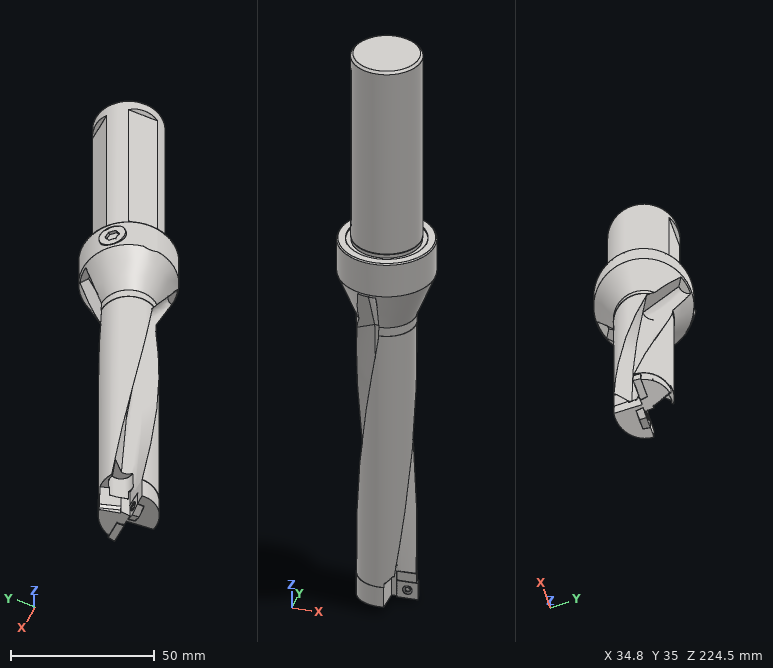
import cadquery as cq
import math

total_length = 224.5
flange_top = 148.5
flange_bottom = 135.0
cone_bottom = 118.0
neck_top = 114.5
flute_top = 112.6
tip_top = 11.0

shank_radius = 25.4 / 2
shank_chamfer = 1.0
flange_radius = 35.0 / 2
flange_chamfer = 0.5
tip_radius = 21.3 / 2
neck_radius = 10.5
end_face_low = 1.5
end_face_high = 3.0

groove_radius = 14.4
groove_depth = 0.7
undercut_height = 0.7
undercut_ramp = 0.5
undercut_depth = 0.2

shank_flat_depth = 1.3
shank_flat_top = 219.5
shank_flat_bottom = 154.0
shank_flat_ramp = 1.0
flange_flat_distance = 17.3

flute_twist = 89.0
web_offset = 1.1
flute_corner_radius = 4.0
flute_edge_angle = 116.0
runout_side_step = 1.0
runout_outward_step = 13.0
runout_rise = 21.3
scoop_radius = 4.5
scoop_x = -3.1
scoop_y = scoop_radius
scoop_top = 23.3
scoop_bottom = tip_top
scoop_cone_height = 2.0

outer_pocket_x = 1.8
outer_pocket_shoulder = 12.1
outer_pocket_top = 15.3
outer_pocket_slope_x = 4.7
seat_shelf_depth = 0.5
seat_shelf_top = 11.7
centre_pocket_top = 15.0
centre_pocket_inner_x = -1.0
centre_pocket_outer_x = 1.5
centre_pocket_step_y = 3.4
foot_relief_top = 5.2
foot_relief_bottom = 3.8
foot_relief_depth = 0.7

insert_thickness = 2.7
insert_taper = 7.0
outer_insert_x = (3.5, 11.2)
outer_insert_z = (1.1, 7.9)
centre_insert_x = (-7.0, 0.7)
centre_insert_point_x = -2.7
centre_insert_shoulder = 1.3
centre_insert_top = 7.6
screw_head_diameter = 3.4
screw_head_height = 1.1
screw_head_recess = 0.2
screw_shank_diameter = 2.2
screw_length = 6.3
screw_socket_diameter = 1.9
screw_socket_depth = 0.7

plug_diameter = 9.9
plug_angle = 135.0
plug_z = 141.4
plug_inner = 11.2
plug_outer = 17.7
plug_socket_across = 4.5
plug_socket_depth = 1.1
plug_socket_sides = 6

clearance = 22.5


def half_turn(shape):
    return shape.rotate((0, 0, 0), (0, 0, 1), 180)


def turned_blank():
    undercut_radius = shank_radius - undercut_depth
    groove_floor = flange_top - groove_depth
    return (
        cq.Workplane("XZ")
        .polyline([
            (0, 0),
            (tip_radius, 0),
            (tip_radius, tip_top),
            (neck_radius, tip_top),
            (neck_radius, neck_top),
            (tip_radius, neck_top),
            (tip_radius, cone_bottom),
            (flange_radius, flange_bottom),
            (flange_radius, flange_top - flange_chamfer),
            (flange_radius - flange_chamfer, flange_top),
            (groove_radius, flange_top),
            (groove_radius, groove_floor),
            (undercut_radius, groove_floor),
            (undercut_radius, flange_top + undercut_height),
            (shank_radius, flange_top + undercut_height + undercut_ramp),
            (shank_radius, total_length - shank_chamfer),
            (shank_radius - shank_chamfer, total_length),
            (0, total_length),
        ])
        .close()
        .revolve(360, (0, 0, 0), (0, 1, 0))
    )


def end_relief():
    """Waste below the two end faces, which rise from the cutting edges."""
    rise_rate = (end_face_high - end_face_low) / tip_radius
    far_z = end_face_low + rise_rate * clearance
    return (
        cq.Workplane("YZ")
        .polyline([
            (-clearance, -clearance),
            (clearance, -clearance),
            (clearance, far_z),
            (0, end_face_low),
            (-clearance, far_z),
        ])
        .close()
        .extrude(clearance, both=True)
    )


def shank_flat():
    """Waste of the clamping flat on the -X side, with ramped ends."""
    floor_x = -(shank_radius - shank_flat_depth)
    return (
        cq.Workplane("XZ")
        .polyline([
            (-shank_radius, shank_flat_bottom),
            (floor_x, shank_flat_bottom + shank_flat_ramp),
            (floor_x, shank_flat_top - shank_flat_ramp),
            (-shank_radius, shank_flat_top),
        ])
        .close()
        .extrude(shank_radius, both=True)
    )


def flange_flat():
    """Waste of the flat on the -X side of the flange, which runs out on the cone."""
    return cq.Workplane("XY").box(
        clearance, clearance, flange_top - cone_bottom, centered=(False, True, False)
    ).translate((-flange_flat_distance - clearance, 0, cone_bottom))


def flute_profile(rotation):
    """L-shaped section with the rake wall along -X and the floor near the axis."""
    edge = math.radians(flute_edge_angle)
    edge_x = tip_radius * math.cos(edge)
    edge_y = tip_radius * math.sin(edge)
    bend = flute_corner_radius
    corner_shift = bend * (1 - math.sqrt(0.5))
    return (
        cq.Workplane("XY")
        .transformed(rotate=(0, 0, rotation))
        .moveTo(-clearance, 0)
        .lineTo(-web_offset - bend, 0)
        .threePointArc(
            (-web_offset - corner_shift, corner_shift),
            (-web_offset, bend),
        )
        .lineTo(edge_x, edge_y)
        .lineTo(edge_x * clearance / tip_radius, edge_y * clearance / tip_radius)
        .lineTo(-clearance, clearance)
        .close()
    )


def flute():
    """Helical flute that starts at the tip."""
    length = flute_top - tip_top
    return flute_profile(0).twistExtrude(length, flute_twist).translate((0, 0, tip_top))


def flute_runout():
    """Straight exit of the flute, which slopes out through the cone."""
    section = flute_profile(flute_twist).wires().val()
    slope = cq.Vector(runout_side_step, -runout_outward_step, runout_rise)
    exit_slot = cq.Solid.extrudeLinear(section, [], slope)
    return cq.Workplane(exit_slot).translate((0, 0, flute_top))


def flute_scoop():
    """Drilled end of the centre flute with a conical bottom."""
    return (
        cq.Workplane("XZ")
        .polyline([
            (0, scoop_bottom - scoop_cone_height),
            (scoop_radius, scoop_bottom),
            (scoop_radius, scoop_top),
            (0, scoop_top),
        ])
        .close()
        .revolve(360, (0, 0, 0), (0, 1, 0))
        .translate((scoop_x, scoop_y, 0))
    )


def outer_pocket():
    """Chip space in front of the outer insert, with a shelf above its seat."""
    chip_space = (
        cq.Workplane("XZ")
        .polyline([
            (outer_pocket_x, -clearance),
            (outer_pocket_x, outer_pocket_shoulder),
            (outer_pocket_slope_x, outer_pocket_top),
            (clearance, outer_pocket_top),
            (clearance, -clearance),
        ])
        .close()
        .extrude(clearance)
    )
    shelf = cq.Workplane("XY").box(
        clearance, seat_shelf_depth, seat_shelf_top, centered=False
    ).translate((outer_insert_x[0], 0, 0))
    return chip_space.union(shelf)


def centre_pocket():
    """Chip space in front of the centre insert."""
    return (
        cq.Workplane("XY")
        .polyline([
            (-clearance, 0),
            (centre_pocket_inner_x, 0),
            (centre_pocket_inner_x, centre_pocket_step_y),
            (centre_pocket_outer_x, tip_radius),
            (centre_pocket_outer_x, clearance),
            (-clearance, clearance),
        ])
        .close()
        .extrude(centre_pocket_top)
    )


def foot_relief():
    """Ramped set-back along the foot of the slanted wall of the centre pocket."""
    start_x = centre_pocket_inner_x
    section = (
        cq.Workplane("XZ", origin=(0, centre_pocket_step_y, 0))
        .polyline([
            (start_x, 0),
            (start_x, foot_relief_top),
            (start_x + foot_relief_depth, foot_relief_bottom),
            (start_x + foot_relief_depth, 0),
        ])
        .close()
        .wires()
        .val()
    )
    along_wall = cq.Vector(
        centre_pocket_outer_x - centre_pocket_inner_x, tip_radius - centre_pocket_step_y, 0
    )
    return cq.Workplane(cq.Solid.extrudeLinear(section, [], along_wall))


def outer_insert_blank():
    """Square insert whose rake face lies on Y = 0 and faces -Y."""
    low_x, high_x = outer_insert_x
    low_z, high_z = outer_insert_z
    return (
        cq.Workplane("XZ")
        .polyline([(low_x, low_z), (high_x, low_z), (high_x, high_z), (low_x, high_z)])
        .close()
        .extrude(-insert_thickness, taper=insert_taper)
    )


def centre_insert_blank():
    """Pointed insert whose rake face lies on Y = 0 and faces +Y."""
    low_x, high_x = centre_insert_x
    return (
        cq.Workplane("XZ")
        .polyline([
            (centre_insert_point_x, 0),
            (high_x, centre_insert_shoulder),
            (high_x, centre_insert_top),
            (low_x, centre_insert_top),
            (low_x, centre_insert_shoulder),
        ])
        .close()
        .extrude(insert_thickness, taper=insert_taper)
    )


def screw_envelope(top):
    """Screw along +Y without its socket; its head starts at Y = top."""
    head_radius = screw_head_diameter / 2
    shank_half = screw_shank_diameter / 2
    head_end = screw_head_recess + screw_head_height
    return (
        cq.Workplane("XY")
        .polyline([
            (0, top),
            (head_radius, top),
            (head_radius, head_end),
            (shank_half, head_end),
            (shank_half, screw_length),
            (0, screw_length),
        ])
        .close()
        .revolve(360, (0, 0, 0), (0, 1, 0))
    )


def insert_screw():
    socket = (
        cq.Workplane("XZ", origin=(0, screw_head_recess, 0))
        .circle(screw_socket_diameter / 2)
        .extrude(-screw_socket_depth)
    )
    return screw_envelope(screw_head_recess).cut(socket)


def at_outer_insert(shape):
    return shape.translate((sum(outer_insert_x) / 2, 0, sum(outer_insert_z) / 2))


def at_centre_insert(shape):
    middle_z = (centre_insert_shoulder + centre_insert_top) / 2
    return half_turn(shape).translate((sum(centre_insert_x) / 2, 0, middle_z))


def plug_frame():
    """Plane across the plug at its inner end, facing out of the flange."""
    angle = math.radians(plug_angle)
    outward = (math.cos(angle), math.sin(angle), 0)
    origin = (plug_inner * outward[0], plug_inner * outward[1], plug_z)
    return cq.Workplane(cq.Plane(origin=origin, xDir=(0, 0, 1), normal=outward))


def plug_blank():
    return plug_frame().circle(plug_diameter / 2).extrude(plug_outer - plug_inner)


def flange_plug():
    socket_diameter = plug_socket_across / math.cos(math.pi / plug_socket_sides)
    return (
        plug_blank()
        .faces(cq.selectors.DirectionMinMaxSelector(plug_frame().plane.zDir, True))
        .workplane()
        .polygon(plug_socket_sides, socket_diameter)
        .cutBlind(-plug_socket_depth)
    )


def drill_body():
    body = turned_blank().cut(end_relief())
    second_flat = shank_flat().rotate((0, 0, 0), (0, 0, 1), -90)
    body = body.cut(shank_flat()).cut(second_flat).cut(flange_flat())
    for cutter in (flute(), flute_runout()):
        body = body.cut(cutter).cut(half_turn(cutter))
    body = body.cut(flute_scoop()).cut(outer_pocket()).cut(centre_pocket()).cut(foot_relief())
    body = body.cut(outer_insert_blank()).cut(centre_insert_blank())
    screw_hole = screw_envelope(0)
    body = body.cut(at_outer_insert(screw_hole)).cut(at_centre_insert(screw_hole))
    return body.cut(plug_blank())


body = drill_body()
plug = flange_plug()
outer_insert = outer_insert_blank().cut(at_outer_insert(screw_envelope(0)))
centre_insert = centre_insert_blank().cut(at_centre_insert(screw_envelope(0)))
screws = [place(insert_screw()) for place in (at_outer_insert, at_centre_insert)]

result = cq.Compound.makeCompound([
    body.val(),
    plug.val(),
    outer_insert.val(),
    centre_insert.val(),
    *[screw.val() for screw in screws],
])